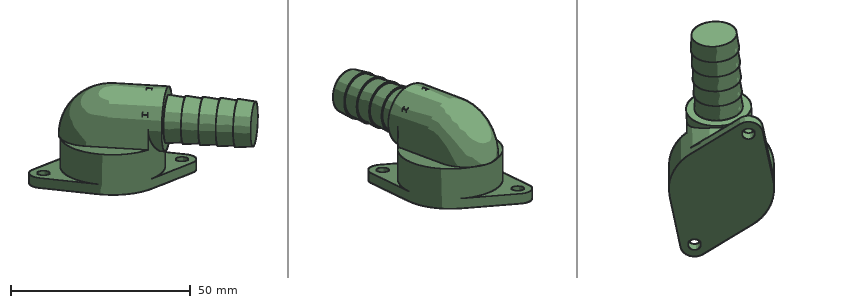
import cadquery as cq
import math

DRUM_DIAMETER = 29.3
DRUM_HEIGHT = 12.0
FLANGE_THICKNESS = 3.0
EAR_RADIUS = 4.0
SCREW_HOLE_DIAMETER = 3.5
SCREW_HOLE_OFFSET = 20.0

TUBE_DIAMETER = 18.25
BEND_RADIUS = 6.05
TUBE_LENGTH = 15.3
OUTLET_TURN = -25.0

RIB_COUNT = 5
TAIL_TIP = 39.9
RIB_GAP = 0.1
RIB_CREST_DIAMETER = 13.6
RIB_ROOT_DIAMETER = 12.65
COLLAR_ACROSS_FLATS = 15.85
COLLAR_TWIST = 4.0
CORNER_UP = 90.0
COLLAR_START = 9.7
COLLAR_LENGTH = 1.5

DRUM_RADIUS = DRUM_DIAMETER / 2
TUBE_RADIUS = TUBE_DIAMETER / 2
TUBE_HEIGHT = DRUM_HEIGHT + BEND_RADIUS
RIB_START = TUBE_LENGTH + RIB_GAP
RIB_PITCH = (TAIL_TIP - RIB_START) / RIB_COUNT
COLLAR_ACROSS_CORNERS = COLLAR_ACROSS_FLATS / math.cos(math.pi / 6)


def turn_to_outlet(shape):
    """Swing a shape built along +Y round to the outlet direction."""
    return shape.rotate((0, 0, 0), (0, 0, 1), OUTLET_TURN)


def across_tube(distance):
    """Workplane square to the tube axis, facing +Y, at a distance from the drum axis."""
    return cq.Workplane(cq.Plane(origin=(0, distance, TUBE_HEIGHT), xDir=(-1, 0, 0), normal=(0, 1, 0)))


def make_flange():
    """Flange whose straight sides are tangent to the drum and to both ears."""
    tangent_sine = (DRUM_RADIUS - EAR_RADIUS) / SCREW_HOLE_OFFSET
    tangent_cosine = math.sqrt(1 - tangent_sine**2)
    drum_x = DRUM_RADIUS * tangent_cosine
    drum_y = DRUM_RADIUS * tangent_sine
    ear_x = EAR_RADIUS * tangent_cosine
    ear_y = SCREW_HOLE_OFFSET + EAR_RADIUS * tangent_sine
    ear_tip = SCREW_HOLE_OFFSET + EAR_RADIUS
    return (
        cq.Workplane("XY")
        .moveTo(drum_x, drum_y)
        .lineTo(ear_x, ear_y)
        .threePointArc((0, ear_tip), (-ear_x, ear_y))
        .lineTo(-drum_x, drum_y)
        .threePointArc((-DRUM_RADIUS, 0), (-drum_x, -drum_y))
        .lineTo(-ear_x, -ear_y)
        .threePointArc((0, -ear_tip), (ear_x, -ear_y))
        .lineTo(drum_x, -drum_y)
        .threePointArc((DRUM_RADIUS, 0), (drum_x, drum_y))
        .close()
        .extrude(FLANGE_THICKNESS)
    )


def make_base():
    """Flange and drum, with a screw hole through each ear."""
    drum = cq.Workplane("XY").circle(DRUM_RADIUS).extrude(DRUM_HEIGHT)
    screw_holes = (
        cq.Workplane("XY")
        .pushPoints([(0, SCREW_HOLE_OFFSET), (0, -SCREW_HOLE_OFFSET)])
        .circle(SCREW_HOLE_DIAMETER / 2)
        .extrude(FLANGE_THICKNESS)
    )
    return make_flange().union(drum).cut(screw_holes)


def make_bend():
    """Quarter turn about a line across the drum top, from the drum up to the tube.

    Only the part of the profile outside that line is swept; the saddle fills the inner corner.
    """
    upper_half = (
        cq.Workplane("XZ", origin=(0, 0, DRUM_HEIGHT))
        .moveTo(-TUBE_RADIUS, 0)
        .lineTo(-TUBE_RADIUS, BEND_RADIUS)
        .threePointArc((0, BEND_RADIUS + TUBE_RADIUS), (TUBE_RADIUS, BEND_RADIUS))
        .lineTo(TUBE_RADIUS, 0)
        .close()
    )
    return upper_half.revolve(90, (0, 0, 0), (1, 0, 0))


def make_tube():
    """Round tube from the end of the bend to the outlet."""
    return across_tube(0).circle(TUBE_RADIUS).extrude(TUBE_LENGTH)


def make_saddle():
    """Flat-sided block that fills the space between tube and drum, trimmed to the drum."""
    block = (
        cq.Workplane("XY", origin=(0, 0, DRUM_HEIGHT))
        .rect(TUBE_DIAMETER, DRUM_RADIUS)
        .extrude(BEND_RADIUS)
        .translate((0, DRUM_RADIUS / 2, 0))
    )
    drum_column = cq.Workplane("XY").circle(DRUM_RADIUS).extrude(TUBE_HEIGHT)
    return block.intersect(drum_column)


def make_collar():
    """Hexagonal collar whose corners just break through the tube wall."""
    return (
        across_tube(COLLAR_START)
        .transformed(rotate=(0, 0, CORNER_UP + COLLAR_TWIST))
        .polygon(6, COLLAR_ACROSS_CORNERS)
        .extrude(COLLAR_LENGTH)
    )


def make_rib(start):
    """One rib, widest at its start and tapering towards the tip."""
    return (
        across_tube(start)
        .circle(RIB_CREST_DIAMETER / 2)
        .workplane(offset=RIB_PITCH)
        .circle(RIB_ROOT_DIAMETER / 2)
        .loft()
    )


def make_hose_tail():
    """Collar, plain neck through the tube end, and the ribs outside it."""
    neck = across_tube(COLLAR_START).circle(RIB_ROOT_DIAMETER / 2).extrude(RIB_START - COLLAR_START)
    tail = make_collar().union(neck)
    for index in range(RIB_COUNT):
        tail = tail.union(make_rib(RIB_START + index * RIB_PITCH))
    return turn_to_outlet(tail)


def make_housing(hose_tail):
    """Base and elbow in one piece, with a socket that matches the hose tail."""
    elbow = make_tube().union(make_bend()).union(make_saddle())
    return make_base().union(turn_to_outlet(elbow)).cut(hose_tail)


hose_tail = make_hose_tail()
housing = make_housing(hose_tail)

result = cq.Compound.makeCompound([housing.val(), hose_tail.val()])